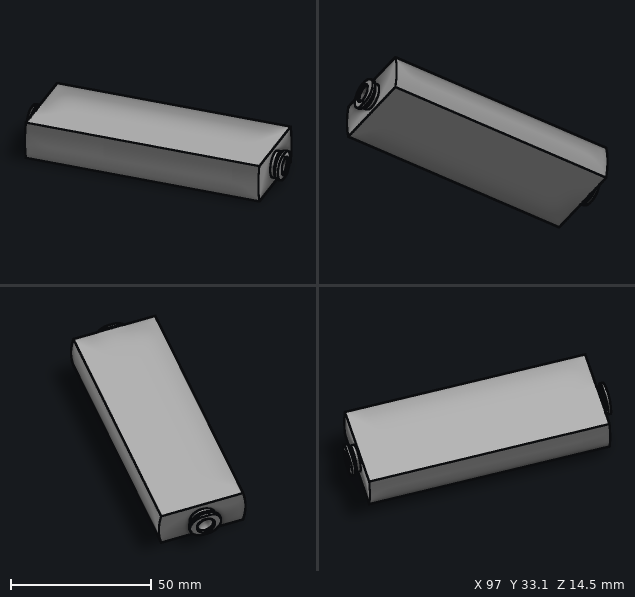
import cadquery as cq

length = 97
width = 33.1
height = 14.5
flat_width = 31.2

fitting_length = 3.9
body_half_length = length / 2 - fitting_length
housing_ends = [-body_half_length, -14.55, 34.5, body_half_length]

release_ring_depth = 1.6
collar_depth = 2.4
neck_diameter = 8.0
collar_diameter = 9.8
ring_width = 11.9
ring_height = collar_diameter
ring_nose_depth = 0.5
bore_diameter = 6.0
bore_mouth_diameter = 6.8
bore_depth = 9.7
mouth_chamfer_depth = 0.7


def housing(start, end):
    """Block with flat top and bottom and gently bulged sides."""
    half_flat = flat_width / 2
    half_height = height / 2
    return (
        cq.Workplane("YZ", origin=(start, 0, 0))
        .moveTo(-half_flat, -half_height)
        .lineTo(half_flat, -half_height)
        .threePointArc((width / 2, 0), (half_flat, half_height))
        .lineTo(-half_flat, half_height)
        .threePointArc((-width / 2, 0), (-half_flat, -half_height))
        .close()
        .extrude(end - start)
    )


def release_ring():
    """Oblong ring at the -X end whose outer face slopes back from the bore mouth."""
    outer_x = -length / 2
    oblong = (
        cq.Workplane("YZ", origin=(outer_x, 0, 0))
        .slot2D(ring_width, ring_height)
        .extrude(release_ring_depth)
    )
    cone = (
        cq.Workplane("XY")
        .moveTo(outer_x, 0)
        .lineTo(outer_x, bore_mouth_diameter / 2)
        .lineTo(outer_x + ring_nose_depth, ring_width / 2)
        .lineTo(outer_x + release_ring_depth, ring_width / 2)
        .lineTo(outer_x + release_ring_depth, 0)
        .close()
        .revolve(360, (0, 0, 0), (1, 0, 0))
    )
    return oblong.intersect(cone)


def cylinder(start, end, diameter):
    return cq.Workplane("YZ", origin=(start, 0, 0)).circle(diameter / 2).extrude(end - start)


def fitting():
    """Release ring, neck and collar at the -X end."""
    outer_x = -length / 2
    neck = cylinder(outer_x + release_ring_depth, -body_half_length, neck_diameter)
    collar = cylinder(outer_x + collar_depth, -body_half_length, collar_diameter)
    return release_ring().union(neck).union(collar)


def bore():
    """Blind tube socket at the -X end, with a chamfered mouth."""
    outer_x = -length / 2
    return (
        cq.Workplane("XY")
        .moveTo(outer_x, 0)
        .lineTo(outer_x, bore_mouth_diameter / 2)
        .lineTo(outer_x + mouth_chamfer_depth, bore_diameter / 2)
        .lineTo(outer_x + bore_depth, bore_diameter / 2)
        .lineTo(outer_x + bore_depth, 0)
        .close()
        .revolve(360, (0, 0, 0), (1, 0, 0))
    )


result = housing(housing_ends[0], housing_ends[1])
for start, end in zip(housing_ends[1:], housing_ends[2:]):
    result = result.union(housing(start, end), clean=False)

end_fitting = fitting()
end_bore = bore()
result = result.union(end_fitting, clean=False).union(end_fitting.mirror("YZ"), clean=False)
result = result.cut(end_bore, clean=False).cut(end_bore.mirror("YZ"), clean=False)